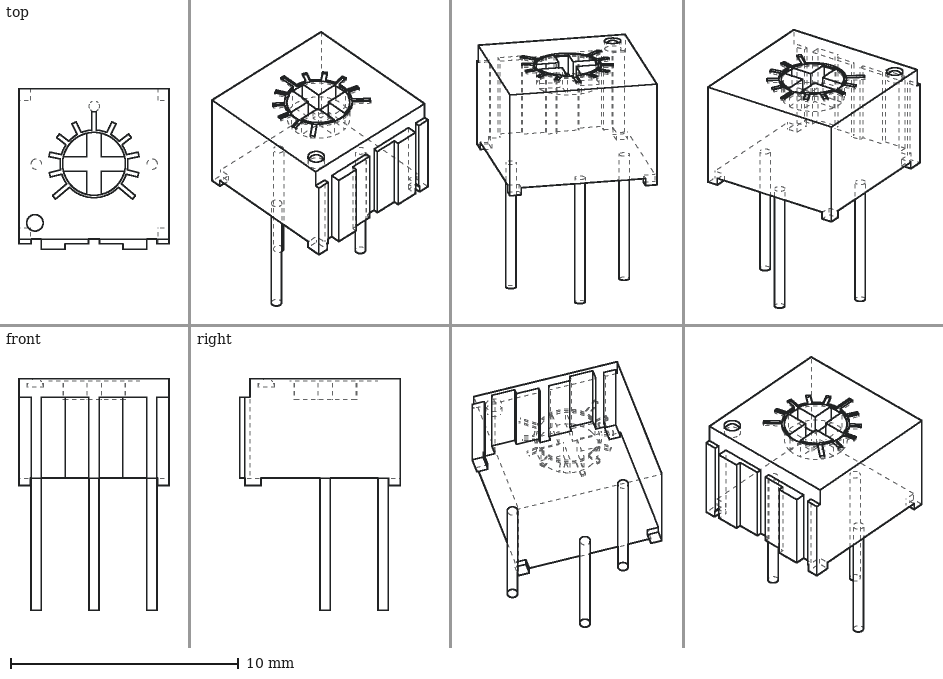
import cadquery as cq
import math

side = 6.6
half = side / 2
height = 4.37
foot_height = 0.33
foot_width = 0.51
front_foot_depth = 0.49
back_foot_depth = 0.51

pad_top = height - 0.81
corner_pad_width = 0.55
thin_pad = 0.215
thick_pad = 0.45
rib_inner = 0.235
rib_step = 1.265
rib_outer = 2.32

rotor_radius = 1.38
rotor_depth = 0.9
quarter_count = 4
slot_width = 0.63

dial_depth = 0.1
dial_radius = 1.485
tick_width = 0.2
short_tick_radius = 2.0
long_tick_radius = 2.29
tick_pitch = 26
ticks_each_side = 5

mark_offset = 2.59
mark_radius = 0.36

pin_pitch = 2.54
pin_diameter = 0.46
pin_length = 5.8
pin_places = [(-pin_pitch, 0), (0, pin_pitch), (pin_pitch, 0)]


def box(x_range, y_range, z_range):
    """Box between two limits along each axis."""
    (x0, x1), (y0, y1), (z0, z1) = x_range, y_range, z_range
    return cq.Workplane("XY").box(x1 - x0, y1 - y0, z1 - z0, centered=False).translate((x0, y0, z0))


def mirrored(shape):
    """The shape together with its mirror image across the YZ plane."""
    return shape.union(shape.mirror("YZ"))


def make_feet():
    foot_z = (-foot_height, 0)
    foot_x = (-half, foot_width - half)
    front = box(foot_x, (-half - thin_pad, front_foot_depth - half), foot_z)
    back = box(foot_x, (half - back_foot_depth, half), foot_z)
    return mirrored(front.union(back))


def make_front_pads():
    pad_z = (0, pad_top)
    corner = box((-half, corner_pad_width - half), (-half - thin_pad, -half), pad_z)
    thin_rib = box((-rib_step, -rib_inner), (-half - thin_pad, -half), pad_z)
    thick_rib = box((-rib_outer, -rib_step), (-half - thick_pad, -half), pad_z)
    return mirrored(corner.union(thin_rib).union(thick_rib))


def make_dial():
    """Dial recess: a disc with radial ticks; the middle and the two end ticks are long."""
    floor = height - dial_depth
    dial = cq.Workplane("XY", origin=(0, 0, floor)).circle(dial_radius).extrude(dial_depth)
    for index in range(-ticks_each_side, ticks_each_side + 1):
        is_long = index in (-ticks_each_side, 0, ticks_each_side)
        tick_radius = long_tick_radius if is_long else short_tick_radius
        tick = box((-tick_width / 2, tick_width / 2), (0, tick_radius), (floor, height))
        dial = dial.union(tick.rotate((0, 0, 0), (0, 0, 1), index * tick_pitch))
    return dial


def make_mark():
    """Space between the wall of the mark hole and the dome inside it."""
    hole = cq.Workplane("XY").circle(mark_radius).extrude(mark_radius)
    dome = cq.Workplane("XY").sphere(mark_radius)
    return hole.cut(dome).translate((-mark_offset, -mark_offset, height - mark_radius))


def make_housing():
    block = box((-half, half), (-half, half), (0, height))
    rotor_pocket = (
        cq.Workplane("XY", origin=(0, 0, height - rotor_depth)).circle(rotor_radius).extrude(rotor_depth)
    )
    solid = block.union(make_feet()).union(make_front_pads())
    return solid.cut(rotor_pocket).cut(make_dial()).cut(make_mark())


def make_rotor_quarter(index):
    """One quarter of the rotor, bounded by two slot walls and the rotor circle."""
    wall = slot_width / 2
    reach = math.sqrt(rotor_radius**2 - wall**2)
    arc_middle = rotor_radius * math.sqrt(0.5)
    quarter = (
        cq.Workplane("XY", origin=(0, 0, height - rotor_depth))
        .moveTo(wall, wall)
        .lineTo(reach, wall)
        .threePointArc((arc_middle, arc_middle), (wall, reach))
        .close()
        .extrude(rotor_depth)
    )
    return quarter.rotate((0, 0, 0), (0, 0, 1), index * 360 / quarter_count)


def make_pin(place):
    """Round pin hanging from the underside of the housing."""
    x, y = place
    return cq.Workplane("XY", origin=(x, y, -pin_length)).circle(pin_diameter / 2).extrude(pin_length)


housing = make_housing()
rotor_quarters = [make_rotor_quarter(index) for index in range(quarter_count)]
pins = [make_pin(place) for place in pin_places]

result = cq.Compound.makeCompound(
    [housing.val()]
    + [quarter.val() for quarter in rotor_quarters]
    + [pin.val() for pin in pins]
)